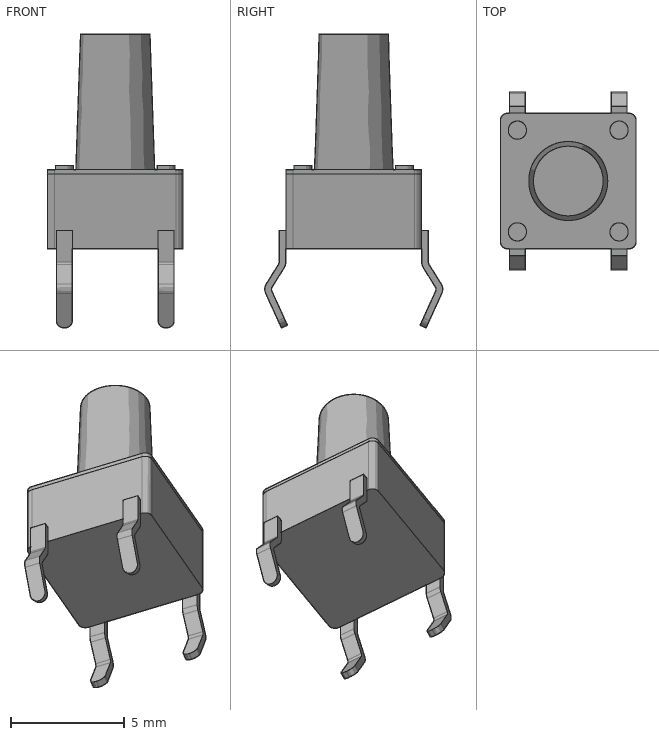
import cadquery as cq
import math

TOTAL_HEIGHT = 13.0
BASE_BOTTOM = 3.5
COVER_TOP = 7.01
COVER_THICKNESS = 0.2
COVER_BOTTOM = COVER_TOP - COVER_THICKNESS

HOUSING_SIDE = 6.0
CORNER_RADIUS = 0.32

RIVET_DIAMETER = 0.8
RIVET_PITCH = 4.5
RIVET_HEIGHT = 0.18

BUTTON_BOTTOM_DIAMETER = 3.5
BUTTON_TOP_DIAMETER = 3.08

LEG_PITCH = RIVET_PITCH
LEG_WIDTH = 0.72
LEG_THICKNESS = 0.3
LEG_TOP = 4.32
LEG_SPAN = 7.88
UPPER_BEND_Z = 2.86
FOOT_ANGLE = math.radians(24.5)
SHIN_ANGLE = math.radians(32)
INNER_BEND_RADIUS = 0.5
OUTER_BEND_RADIUS = 0.2
KNEE_INNER_RADIUS = 0.2
KNEE_OUTER_RADIUS = 0.44
TIP_RADIUS = 0.35


def square_block(bottom, height):
    """Square block with rounded vertical corners."""
    return (
        cq.Workplane("XY", origin=(0, 0, bottom))
        .rect(HOUSING_SIDE, HOUSING_SIDE)
        .extrude(height)
        .edges("|Z")
        .fillet(CORNER_RADIUS)
    )


def make_button():
    """Tapered button standing on the cover."""
    return (
        cq.Workplane("XY", origin=(0, 0, COVER_TOP))
        .circle(BUTTON_BOTTOM_DIAMETER / 2)
        .workplane(offset=TOTAL_HEIGHT - COVER_TOP)
        .circle(BUTTON_TOP_DIAMETER / 2)
        .loft(ruled=True)
    )


def make_cover():
    """Cover plate with its rivet heads and the button in one piece."""
    rivets = (
        cq.Workplane("XY", origin=(0, 0, COVER_TOP))
        .rect(RIVET_PITCH, RIVET_PITCH, forConstruction=True)
        .vertices()
        .circle(RIVET_DIAMETER / 2)
        .extrude(RIVET_HEIGHT)
    )
    plate = square_block(COVER_BOTTOM, COVER_THICKNESS)
    return plate.union(rivets).union(make_button())


def make_leg():
    """Leg centred on X = 0, lying against the +Y side of the housing."""
    inner_y = HOUSING_SIDE / 2
    outer_y = inner_y + LEG_THICKNESS

    bisector = (SHIN_ANGLE - FOOT_ANGLE) / 2
    half_turn = (SHIN_ANGLE + FOOT_ANGLE) / 2
    knee_centre_y = LEG_SPAN / 2 - KNEE_OUTER_RADIUS
    corner_reach = KNEE_OUTER_RADIUS / math.cos(half_turn)
    knee_y = knee_centre_y + corner_reach * math.cos(bisector)
    knee_z = UPPER_BEND_Z - (knee_y - outer_y) / math.tan(SHIN_ANGLE)

    inner_bend_z = UPPER_BEND_Z - LEG_THICKNESS * math.tan(SHIN_ANGLE / 2)
    knee_thickness = LEG_THICKNESS / math.cos(half_turn)
    inner_knee_y = knee_y - knee_thickness * math.cos(bisector)
    inner_knee_z = knee_z - knee_thickness * math.sin(bisector)

    foot_y = knee_y - knee_z * math.tan(FOOT_ANGLE)
    inner_foot_y = foot_y - LEG_THICKNESS * math.cos(FOOT_ANGLE)
    inner_foot_z = LEG_THICKNESS * math.sin(FOOT_ANGLE)

    strip = (
        cq.Workplane("YZ", origin=(-LEG_WIDTH / 2, 0, 0))
        .moveTo(inner_y, LEG_TOP)
        .lineTo(outer_y, LEG_TOP)
        .lineTo(outer_y, UPPER_BEND_Z)
        .lineTo(knee_y, knee_z)
        .lineTo(foot_y, 0)
        .lineTo(inner_foot_y, inner_foot_z)
        .lineTo(inner_knee_y, inner_knee_z)
        .lineTo(inner_y, inner_bend_z)
        .close()
        .extrude(LEG_WIDTH)
    )

    def bend_edge(y, z):
        return cq.selectors.NearestToPointSelector((0, y, z))

    strip = strip.edges("|X").edges(bend_edge(inner_y, inner_bend_z)).fillet(INNER_BEND_RADIUS)
    strip = strip.edges("|X").edges(bend_edge(outer_y, UPPER_BEND_Z)).fillet(OUTER_BEND_RADIUS)
    strip = strip.edges("|X").edges(bend_edge(inner_knee_y, inner_knee_z)).fillet(KNEE_INNER_RADIUS)
    strip = strip.edges("|X").edges(bend_edge(knee_y, knee_z)).fillet(KNEE_OUTER_RADIUS)

    foot_mid_y = (foot_y + inner_foot_y) / 2
    for side in (-1, 1):
        corner = (side * LEG_WIDTH / 2, foot_mid_y, inner_foot_z / 2)
        strip = strip.edges(cq.selectors.NearestToPointSelector(corner)).fillet(TIP_RADIUS)
    return strip


base = square_block(BASE_BOTTOM, COVER_BOTTOM - BASE_BOTTOM)
cover = make_cover()

legs = []
for x in (-LEG_PITCH / 2, LEG_PITCH / 2):
    for turn in (0, 180):
        leg = make_leg().rotate((0, 0, 0), (0, 0, 1), turn).translate((x, 0, 0))
        legs.append(leg.val())

result = cq.Compound.makeCompound([base.val(), cover.val(), *legs])